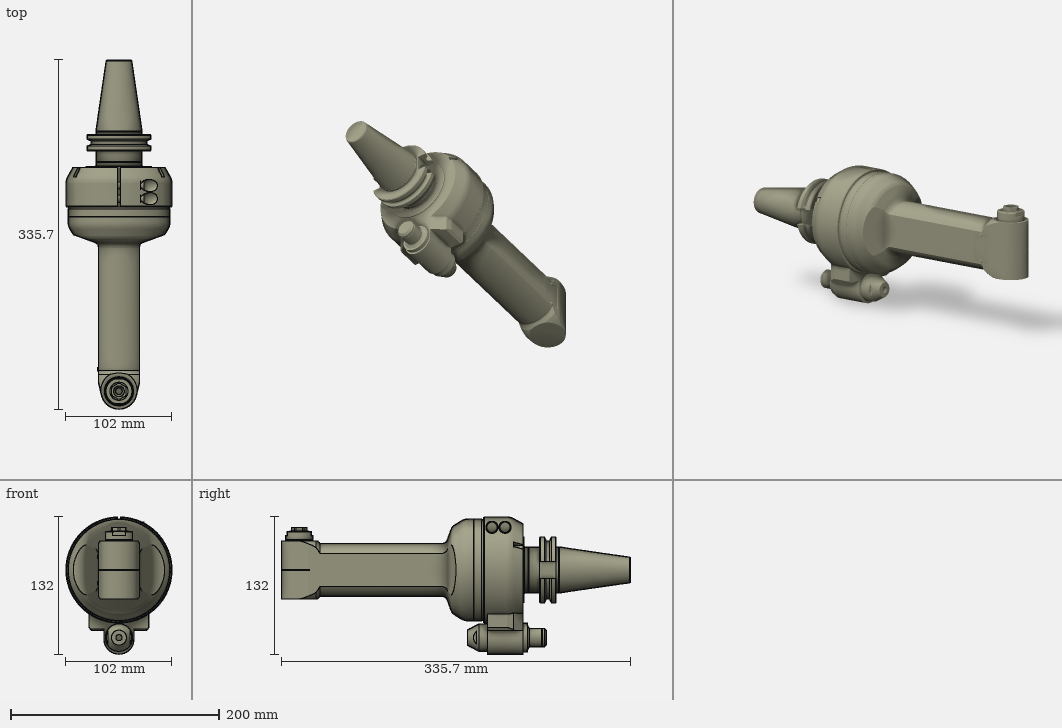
import cadquery as cq
import math


gauge_radius = 22.225
taper_length = 68.4
taper_slope = 7 / 48
tail_radius = gauge_radius - taper_length * taper_slope
tail_chamfer = 1.0
shank_radius = 22.0
shank_end_y = -33.4
flange_back_y = -3.2
flange_front_y = -19.1
flange_radius = 31.75
flange_chamfer = 0.8
v_groove_y = -11.1
v_groove_radius = 28.1
v_groove_root_half = 1.7
v_groove_top_half = 3.4
drive_slot_width = 16.1
drive_slot_floor = 22.6
shank_groove_depth = 0.4
shank_groove_width = 1.0
shank_groove_ys = (-0.5, -29.6)

hub_lip_radius = 22.7
hub_radius = 31.5
hub_lip_length = 0.6
hub_back_y = shank_end_y - hub_lip_length
ring_back_y = -34.8
ring_front_y = -72.8
bulb_radius = 49.0
bulb_recess_radius = 48.5
bulb_recess_end_y = -74.7
bulb_groove_y = -82.4
bulb_groove_width = 0.6
bulb_groove_depth = 0.3
bulb_round_y = -87.8
bulb_round_radius = 12.0
bulb_round_angle = math.radians(32)
nose_cone_angle = math.radians(20)
nose_cone_radius = 41.6
nose_cone_y = -103.2
nose_edge_round = 6.5
neck_fillet = 5.0
arm_radius = 25.5
arm_half_width = 19.9
arm_end_y = -230.0
flat_depth = 2.9
flat_fillet = 4.0

output_y = -250.0
nose_end_radius = 17.29
nose_half_height = 28.0
nose_shoulder_y = -241.3
nose_seam_start_y = -240.0
nose_seam_width = 0.7
nose_seam_depth = 0.3
nose_turned_points = ((arm_radius, arm_end_y), (29.3, -233.8), (32.0, nose_shoulder_y), (33.0, -248.0))
nose_blank_end_y = -270.0
spindle_radius = 13.1
spindle_seat_radius = 14.0
spindle_seat_depth = 1.0
spindle_shoulder_z = 37.0
spindle_chamfer = 0.6
spindle_undercut_z = 28.8
spindle_undercut_height = 0.7
spindle_undercut_depth = 0.4
spindle_collar_radius = 8.7
spindle_collar_height = 0.4
spindle_flat_y = 11.6
spindle_flat_z = 33.0
nut_across_flats = 14.0
nut_chamfer_radius = 7.6
nut_top_z = 41.0
collet_mouth_diameter = 10.4
collet_bore_diameter = 6.5
collet_depth = 9.0

cover_y = -229.0
cover_length = 17.5
cover_height = 29.4
cover_depth = 0.4
cover_corner = 1.5
cover_screw_diameter = 3.3
cover_screw_z = 12.6
cover_screw_proud = 0.8

ring_radius = 51.0
ring_back_radius = 44.2
ring_cone_y = -44.0
ring_cone_radius = 49.3
ring_round_y = -50.0
ring_chamfer = 0.7
split_width = 3.0
clamp_screw_ys = (-52.3, -64.9)
clamp_screw_z = 41.0
clamp_screw_diameter = 7.0
clamp_head_diameter = 10.0
clamp_head_x = 24.0
clamp_seat_diameter = 11.6
clamp_seat_x = 20.5
spanner_slot_width = 5.0
spanner_slot_depth = 4.0
spanner_slot_angles = (30, 150)
bracket_half_width = 28.8
bracket_front_y = -69.3
bracket_bottom_z = -58.2
bracket_top_z = -35.0
bracket_chamfer_x = 2.5
bracket_chamfer_z = 3.0
bracket_back_half_width = 15.0
bracket_front_chamfer = 1.5
bracket_round = ring_radius - ring_cone_radius
pin_hub_radius = 14.5
pin_hub_bottom_z = -81.0
pin_hub_z = pin_hub_bottom_z + pin_hub_radius

pin_z = -65.0
pin_tail_y = -12.6
pin_tail_radius = 9.0
pin_tail_chamfer = 2.0
pin_groove_y = -16.8
pin_groove_width = 1.0
pin_groove_depth = 0.3
pin_neck_y = -28.8
pin_collar_radius = 14.0
pin_collar_back_y = -30.8
pin_head_radius = 13.2
pin_cone_y = -77.5
pin_tip_radius = 8.2
pin_tip_y = -87.0
pin_nose_radius = 7.2
pin_nose_y = -88.5
pin_flat_x = 10.4
pin_flat_y = -79.6
pin_bore_diameter = 6.0
pin_bore_depth = 5.0

far = 150.0
clearance = 1.0
edge_margin = 0.5


def turned(points):
    """Revolve a closed (radius, y) outline about the Y axis."""
    return cq.Workplane("XY").polyline(points).close().revolve(360, (0, 0), (0, 1))


def cut_groove(body, surface_radius, depth, y, width):
    """Cut a groove centred at y, running around the Y axis."""
    plane = cq.Workplane("XZ", origin=(0, y, 0))
    outer_radius = surface_radius + clearance
    groove = plane.circle(outer_radius).circle(surface_radius - depth).extrude(width / 2, both=True)
    return body.cut(groove)


def round_edge_at(body, y, radius):
    """Round the circular edge of a turned body at the given y."""
    edge = cq.selectors.BoxSelector((-far, y - edge_margin, -far), (far, y + edge_margin, far))
    return body.edges(edge).fillet(radius)


def block(x_range, y_range, z_range):
    """Box given by its limits along each axis."""
    lengths = [high - low for low, high in (x_range, y_range, z_range)]
    corner = (x_range[0], y_range[0], z_range[0])
    return cq.Workplane("XY").box(*lengths, centered=False).translate(corner)


def x_cylinder(diameter, x_start, x_end, y, z):
    return cq.Workplane("YZ", origin=(x_start, y, z)).circle(diameter / 2).extrude(x_end - x_start)


def make_shank():
    outline = [
        (0, taper_length),
        (tail_radius - tail_chamfer / 2, taper_length),
        (tail_radius + tail_chamfer * taper_slope, taper_length - tail_chamfer),
        (gauge_radius, 0),
        (shank_radius, 0),
        (shank_radius, flange_back_y),
        (flange_radius - flange_chamfer, flange_back_y),
        (flange_radius, flange_back_y - flange_chamfer),
        (flange_radius, v_groove_y + v_groove_top_half),
        (v_groove_radius, v_groove_y + v_groove_root_half),
        (v_groove_radius, v_groove_y - v_groove_root_half),
        (flange_radius, v_groove_y - v_groove_top_half),
        (flange_radius, flange_front_y + flange_chamfer),
        (flange_radius - flange_chamfer, flange_front_y),
        (shank_radius, flange_front_y),
        (shank_radius, shank_end_y),
        (0, shank_end_y),
    ]
    shank = turned(outline)
    for y in shank_groove_ys:
        shank = cut_groove(shank, shank_radius, shank_groove_depth, y, shank_groove_width)
    half_slot = drive_slot_width / 2
    for x_range in ((drive_slot_floor, far), (-far, -drive_slot_floor)):
        shank = shank.cut(block(x_range, (flange_front_y, flange_back_y), (-half_slot, half_slot)))
    return shank


def make_bulb_and_arm():
    cone_run = nose_cone_radius - arm_radius
    cone_end_y = nose_cone_y - cone_run * math.tan(nose_cone_angle)
    round_mid = bulb_round_angle / 2
    drop_mid = bulb_round_radius * (1 - math.cos(round_mid))
    drop_end = bulb_round_radius * (1 - math.cos(bulb_round_angle))
    bulb = (
        cq.Workplane("XY")
        .moveTo(0, shank_end_y)
        .lineTo(hub_lip_radius, shank_end_y)
        .lineTo(hub_lip_radius, hub_back_y)
        .lineTo(hub_radius, hub_back_y)
        .lineTo(hub_radius, ring_front_y)
        .lineTo(bulb_recess_radius, ring_front_y)
        .lineTo(bulb_recess_radius, bulb_recess_end_y)
        .lineTo(bulb_radius, bulb_recess_end_y)
        .lineTo(bulb_radius, bulb_round_y)
        .threePointArc(
            (bulb_radius - drop_mid, bulb_round_y - bulb_round_radius * math.sin(round_mid)),
            (bulb_radius - drop_end, bulb_round_y - bulb_round_radius * math.sin(bulb_round_angle)),
        )
        .lineTo(nose_cone_radius, nose_cone_y)
        .lineTo(arm_radius, cone_end_y)
        .lineTo(arm_radius, arm_end_y)
        .lineTo(0, arm_end_y)
        .close()
        .revolve(360, (0, 0), (0, 1))
    )
    bulb = round_edge_at(bulb, nose_cone_y, nose_edge_round)
    bulb = round_edge_at(bulb, cone_end_y, neck_fillet)
    return cut_groove(bulb, bulb_radius, bulb_groove_depth, bulb_groove_y, bulb_groove_width)


def make_arm_flat_cutter():
    """Cutter on the +X side: leaves the flat arm side and the slanted bulb flat, joined by a fillet."""
    slope = math.tan(nose_cone_angle)
    corner_y = nose_cone_y + flat_depth - (nose_cone_radius - arm_half_width) * slope
    outer_y = corner_y + (far - arm_half_width) * slope
    profile = [
        (arm_half_width, arm_end_y - clearance),
        (arm_half_width, corner_y),
        (far, outer_y),
        (far, arm_end_y - clearance),
    ]
    cutter = cq.Workplane("XY").polyline(profile).close().extrude(far, both=True)
    corner = cq.selectors.NearestToPointSelector((arm_half_width, corner_y, 0))
    return cutter.edges("|Z").edges(corner).fillet(flat_fillet)


def nose_outline():
    """Plan of the nose: parallel sides that converge to a round end about the output axis."""
    shoulder_rise = nose_shoulder_y - output_y
    shoulder_distance = math.hypot(arm_half_width, shoulder_rise)
    tangent_angle = math.atan2(shoulder_rise, arm_half_width) - math.acos(nose_end_radius / shoulder_distance)
    tangent_x = nose_end_radius * math.cos(tangent_angle)
    tangent_y = output_y + nose_end_radius * math.sin(tangent_angle)
    return (
        cq.Workplane("XY")
        .moveTo(-arm_half_width, arm_end_y)
        .lineTo(arm_half_width, arm_end_y)
        .lineTo(arm_half_width, nose_shoulder_y)
        .lineTo(tangent_x, tangent_y)
        .threePointArc((0, output_y - nose_end_radius), (-tangent_x, tangent_y))
        .lineTo(-arm_half_width, nose_shoulder_y)
        .close()
    )


def make_nose():
    """Nose block with its corners turned off about the tool axis and a seam line around mid height."""
    half_seam = nose_seam_width / 2
    seam = block((-far, far), (nose_blank_end_y, nose_seam_start_y), (-half_seam, half_seam))
    seam = seam.cut(nose_outline().offset2D(-nose_seam_depth).extrude(nose_seam_width, both=True))
    nose = nose_outline().extrude(nose_half_height, both=True)
    start, shoulder, middle, end = nose_turned_points
    envelope = (
        cq.Workplane("XY")
        .moveTo(0, start[1])
        .lineTo(*start)
        .lineTo(*shoulder)
        .threePointArc(middle, end)
        .lineTo(end[0], nose_blank_end_y)
        .lineTo(0, nose_blank_end_y)
        .close()
        .revolve(360, (0, 0), (0, 1))
    )
    return nose.intersect(envelope).cut(seam)


def make_spindle():
    """Output spindle nose with wrench flats, hexagonal nut and a conical collet mouth."""
    seat_z = nose_half_height - spindle_seat_depth
    axis_plane = cq.Workplane("XY", origin=(0, output_y, seat_z))
    body = axis_plane.circle(spindle_radius).extrude(spindle_shoulder_z - seat_z)
    body = body.faces(">Z").chamfer(spindle_chamfer)
    for y_range in ((spindle_flat_y, far), (-far, -spindle_flat_y)):
        body = body.cut(block((-far, far), y_range, (spindle_flat_z, far)).translate((0, output_y, 0)))
    undercut = (
        cq.Workplane("XY", origin=(0, output_y, spindle_undercut_z))
        .circle(spindle_seat_radius)
        .circle(spindle_radius - spindle_undercut_depth)
        .extrude(spindle_undercut_height)
    )
    body = body.cut(undercut)
    across_corners = nut_across_flats / math.cos(math.pi / 6)
    shoulder_plane = cq.Workplane("XY", origin=(0, output_y, spindle_shoulder_z))
    nut_height = nut_top_z - spindle_shoulder_z
    nut = shoulder_plane.transformed(rotate=(0, 0, 90)).polygon(6, across_corners).extrude(nut_height)
    nut = nut.intersect(shoulder_plane.circle(nut_chamfer_radius).extrude(nut_height))
    mouth = (
        cq.Workplane("XY", origin=(0, output_y, nut_top_z))
        .circle(collet_mouth_diameter / 2)
        .workplane(offset=-collet_depth)
        .circle(collet_bore_diameter / 2)
        .loft()
    )
    collar = shoulder_plane.circle(spindle_collar_radius).extrude(spindle_collar_height)
    return body.union(collar).union(nut).cut(mouth)


def add_cover(housing):
    """Shallow cover pocket on the -X side of the arm with two screw heads."""
    floor_x = -arm_half_width + cover_depth
    pocket = (
        cq.Workplane("YZ", origin=(floor_x, cover_y, 0))
        .rect(cover_length, cover_height)
        .extrude(-far)
        .edges("|X")
        .fillet(cover_corner)
    )
    housing = housing.cut(pocket)
    for z in (cover_screw_z, -cover_screw_z):
        head = x_cylinder(cover_screw_diameter, floor_x, -arm_half_width - cover_screw_proud, cover_y, z)
        housing = housing.union(head)
    return housing


def make_housing():
    flat_cutter = make_arm_flat_cutter()
    housing = make_bulb_and_arm().cut(flat_cutter).cut(flat_cutter.mirror("YZ"))
    housing = housing.union(make_nose())
    seat = (
        cq.Workplane("XY", origin=(0, output_y, nose_half_height))
        .circle(spindle_seat_radius)
        .extrude(-spindle_seat_depth)
    )
    housing = housing.cut(seat).union(make_spindle())
    return add_cover(housing)


def make_bracket():
    """Plate under the ring carrying the round hub of the locating pin."""
    half = bracket_half_width
    plan = [
        (bracket_back_half_width, ring_back_y),
        (half - bracket_round, ring_cone_y),
        (half, ring_round_y),
        (half, bracket_front_y),
    ]
    mirrored = [(-x, y) for x, y in reversed(plan)]
    height = bracket_top_z - bracket_bottom_z
    plate_base = cq.Workplane("XY", origin=(0, 0, bracket_bottom_z))
    plate = plate_base.polyline(plan + mirrored).close().extrude(height)
    front = [
        (half, bracket_top_z),
        (half, bracket_bottom_z + bracket_chamfer_z),
        (half - bracket_chamfer_x, bracket_bottom_z),
    ]
    front_mirrored = [(-x, z) for x, z in reversed(front)]
    section = cq.Workplane("XZ").polyline(front + front_mirrored).close().extrude(far)
    depth = ring_back_y - bracket_front_y
    hub_plane = cq.Workplane("XZ", origin=(0, ring_back_y, 0))
    hub = hub_plane.center(0, pin_hub_z).circle(pin_hub_radius).extrude(depth)
    hub_neck = block(
        (-pin_hub_radius, pin_hub_radius), (bracket_front_y, ring_back_y), (pin_hub_z, bracket_top_z)
    )
    plate = plate.intersect(section)
    plate = plate.faces("<Y").edges("<Z").chamfer(bracket_front_chamfer)
    return plate.union(hub_neck).union(hub)


def make_ring():
    ring = (
        cq.Workplane("XY")
        .moveTo(hub_radius, ring_back_y)
        .lineTo(ring_back_radius, ring_back_y)
        .lineTo(ring_cone_radius, ring_cone_y)
        .tangentArcPoint((ring_radius, ring_round_y), relative=False)
        .lineTo(ring_radius, ring_front_y + ring_chamfer)
        .lineTo(ring_radius - ring_chamfer, ring_front_y)
        .lineTo(hub_radius, ring_front_y)
        .close()
        .revolve(360, (0, 0), (0, 1))
    )
    back_plane = cq.Workplane("XZ", origin=(0, ring_back_y, 0))
    bore = back_plane.circle(hub_radius).extrude(ring_back_y - ring_front_y)
    ring = ring.union(make_bracket().cut(bore))
    half_split = split_width / 2
    ring = ring.cut(block((-half_split, half_split), (ring_front_y, ring_back_y), (0, far)))
    for y in clamp_screw_ys:
        ring = ring.cut(x_cylinder(clamp_seat_diameter, clamp_seat_x, far, y, clamp_screw_z))
        ring = ring.union(x_cylinder(clamp_head_diameter, clamp_seat_x, clamp_head_x, y, clamp_screw_z))
        ring = ring.union(x_cylinder(clamp_screw_diameter, -split_width, split_width, y, clamp_screw_z))
    slot_floor = (ring_cone_radius + ring_back_radius) / 2 - spanner_slot_depth
    half_slot = spanner_slot_width / 2
    for angle in spanner_slot_angles:
        slot = block((slot_floor, far), (ring_cone_y, ring_back_y), (-half_slot, half_slot))
        ring = ring.cut(slot.rotate((0, 0, 0), (0, -1, 0), angle))
    pin_bore = cq.Workplane("XZ", origin=(0, ring_back_y, pin_z)).circle(pin_tail_radius).extrude(far)
    return ring.cut(pin_bore)


def make_pin():
    outline = [
        (0, pin_tail_y),
        (pin_tail_radius - pin_tail_chamfer, pin_tail_y),
        (pin_tail_radius, pin_tail_y - pin_tail_chamfer),
        (pin_tail_radius, pin_neck_y),
        (pin_collar_radius - (pin_neck_y - pin_collar_back_y), pin_collar_back_y),
        (pin_collar_radius, pin_collar_back_y),
        (pin_collar_radius, ring_back_y),
        (pin_tail_radius, ring_back_y),
        (pin_tail_radius, bracket_front_y),
        (pin_head_radius, bracket_front_y),
        (pin_head_radius, pin_cone_y),
        (pin_tip_radius, pin_tip_y),
        (pin_nose_radius, pin_nose_y),
        (0, pin_nose_y),
    ]
    pin = turned(outline)
    pin = cut_groove(pin, pin_tail_radius, pin_groove_depth, pin_groove_y, pin_groove_width)
    for x_range in ((pin_flat_x, far), (-far, -pin_flat_x)):
        pin = pin.cut(block(x_range, (pin_nose_y, pin_flat_y), (-far, far)))
    pin = pin.faces("<Y").workplane().hole(pin_bore_diameter, pin_bore_depth)
    return pin.translate((0, 0, pin_z))


shank = make_shank()
housing = make_housing()
ring = make_ring()
pin = make_pin()

result = cq.Compound.makeCompound([shank.val(), housing.val(), ring.val(), pin.val()])